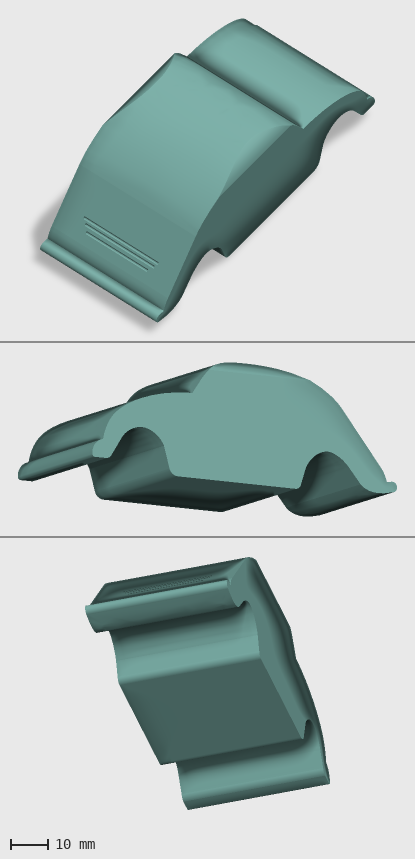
import cadquery as cq
import math

LENGTH = 95.2
WIDTH = 40.0
HEIGHT = 33.8
NOSE = LENGTH / 2
TAIL = -LENGTH / 2
HALF_WIDTH = WIDTH / 2

ROOF_EDGE_Z = 30.2
ROOF_EDGE_INSET = 4.0
LEFT_EDGE_MID = (1.8, 32.2)
RIGHT_EDGE_MID = (1.5, 32.55)
ROOF_CUT_CLEARANCE = 0.95

LOUVRES = [
    (-12.4, 13.1, 13.3),
    (-11.2, 12.6, 12.2),
    (-10.0, 11.1, 10.8),
]
LOUVRE_HEIGHT = 0.7
LOUVRE_DEPTH = 0.7

WINDSCREEN_BASE = (16.4, 23.3)
WINDSCREEN_TOP = (13.4, 27.6)

LID_TOP = (-30.5, 23.2)
LID_BOTTOM = (-42.5, 8.3)

ROOF_PEAK = (-2.9, HEIGHT)
ROOF_DIRECTION = (-1, 0)


def unit_direction(start, end):
    """Unit vector from start to end."""
    length = math.dist(start, end)
    return ((end[0] - start[0]) / length, (end[1] - start[1]) / length)


def lid_y(z):
    """Y of the sloping rear lid at height z."""
    slope = (LID_TOP[0] - LID_BOTTOM[0]) / (LID_TOP[1] - LID_BOTTOM[1])
    return LID_BOTTOM[0] + slope * (z - LID_BOTTOM[1])


def car_body():
    """Side silhouette in (Y, Z), extruded across the full width."""
    lid_direction = unit_direction(LID_TOP, LID_BOTTOM)
    windscreen_direction = unit_direction(WINDSCREEN_BASE, WINDSCREEN_TOP)
    profile = (
        cq.Workplane("YZ", origin=(-HALF_WIDTH, 0, 0))
        .moveTo(NOSE, 3.8)
        .threePointArc((46.7, 6.6), (44.3, 8.1))
        .spline(
            [(43.4, 11.1), (41.4, 14.7), (37.4, 18.0), (32.0, 20.6), (22.6, 22.8), WINDSCREEN_BASE],
            includeCurrent=True,
        )
        .lineTo(*WINDSCREEN_TOP)
        .spline(
            [(10.8, 30.5), (7.0, 32.55), (2.3, 33.6), ROOF_PEAK],
            tangents=[windscreen_direction, ROOF_DIRECTION],
            includeCurrent=True,
        )
        .spline(
            [(-11.5, 33.0), (-19.6, 30.55), (-26.4, 26.9), LID_TOP],
            tangents=[ROOF_DIRECTION, lid_direction],
            includeCurrent=True,
        )
        .lineTo(*LID_BOTTOM)
        .tangentArcPoint((-44.35, 4.6), relative=False)
        .lineTo(-46.0, 4.8)
        .threePointArc((TAIL, 3.2), (-46.3, 1.9))
        .spline(
            [(-41.2, 1.2), (-38.5, 1.7), (-36.2, 3.1)],
            includeCurrent=True,
        )
        .lineTo(-32.5, 7.5)
        .spline(
            [(-29.1, 10.2), (-25.9, 11.1), (-21.7, 9.4), (-19.0, 5.9)],
            includeCurrent=True,
        )
        .lineTo(-17.6, 1.5)
        .threePointArc((-16.9, 0.4), (-15.9, 0))
        .lineTo(20.8, 0)
        .threePointArc((22.6, 0.6), (23.5, 1.9))
        .lineTo(25.2, 8.0)
        .spline(
            [(27.6, 10.85), (31.8, 12.5), (36.0, 11.3), (38.7, 8.5)],
            includeCurrent=True,
        )
        .lineTo(41.4, 4.3)
        .threePointArc((42.2, 3.3), (43.1, 2.95))
        .lineTo(46.8, 2.95)
        .threePointArc((47.3, 3.1), (NOSE, 3.8))
        .close()
    )
    return profile.extrude(WIDTH)


def roof_edge_cutter(side, edge_mid):
    """Material outside one rounded roof edge; side is -1 (left) or +1 (right)."""
    mid_inset, mid_z = edge_mid
    outer_x = side * (HALF_WIDTH + ROOF_CUT_CLEARANCE)
    inner_x = side * (HALF_WIDTH - ROOF_EDGE_INSET)
    top_z = HEIGHT + ROOF_CUT_CLEARANCE
    return (
        cq.Workplane("XZ")
        .moveTo(side * HALF_WIDTH, ROOF_EDGE_Z)
        .threePointArc((side * (HALF_WIDTH - mid_inset), mid_z), (inner_x, HEIGHT))
        .lineTo(inner_x, top_z)
        .lineTo(outer_x, top_z)
        .lineTo(outer_x, ROOF_EDGE_Z)
        .close()
        .extrude(LENGTH / 2, both=True)
    )


def louvre_cutter(left_x, right_x, bottom_z):
    """Horizontal slot entering the rear lid from behind."""
    floor_y = lid_y(bottom_z) + LOUVRE_DEPTH
    return cq.Workplane("XY").box(
        right_x - left_x, floor_y - TAIL, LOUVRE_HEIGHT, centered=False
    ).translate((left_x, TAIL, bottom_z))


result = car_body()
result = result.cut(roof_edge_cutter(-1, LEFT_EDGE_MID))
result = result.cut(roof_edge_cutter(1, RIGHT_EDGE_MID))
for louvre in LOUVRES:
    result = result.cut(louvre_cutter(*louvre))